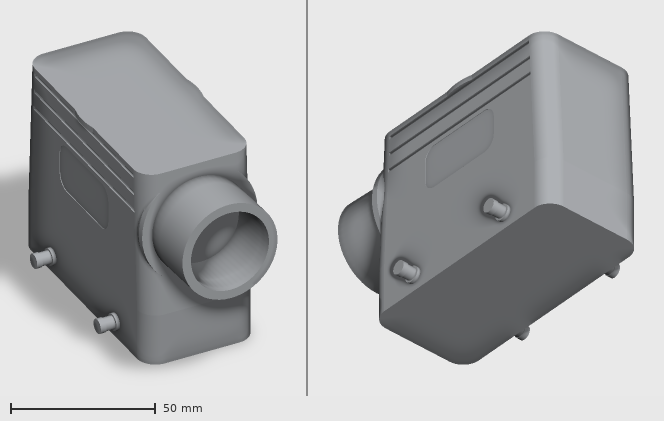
import cadquery as cq
import math

body_length = 93.3
body_width = 43.3
body_height = 76.0
skirt_height = 20.0
end_lean = 3.0
corner_radius = 7.1

total_length = 115.1
outlet_wall_height = 52.0
outlet_diameter = 37.0
bore_diameter = 30.4
collar_diameter = 45.0
collar_rim_length = 2.5
collar_taper_length = 2.6
collar_taper_drop = 0.9

groove_height = 1.4
groove_depth = 0.9
groove_pitch = 6.9
groove_count = 3
top_band_height = 2.1

bulge_width = 13.1
bulge_rise = 0.86

panel_length = 36.2
panel_height = 18.1
panel_radius = 5.2
panel_depth = 0.2
panel_center_height = 47.9

pin_spacing = 47.4
pin_height = 6.5
pin_span = 57.8
pin_flange_diameter = 6.5
pin_flange_length = 1.4
pin_neck_diameter = 5.0
pin_head_diameter = 5.5
pin_head_length = 2.2

half_length = body_length / 2
half_width = body_width / 2
lean_slope = math.tan(math.radians(end_lean))


def end_x(z):
    """Half length of the body at a height on the leaning ends."""
    return half_length - (z - skirt_height) * lean_slope


def make_body():
    top_half = end_x(body_height)
    outline = [
        (-half_length, 0),
        (half_length, 0),
        (half_length, skirt_height),
        (top_half, body_height),
        (-top_half, body_height),
        (-half_length, skirt_height),
    ]
    body = cq.Workplane("XZ").polyline(outline).close().extrude(half_width, both=True)
    upright_edges = body.edges("not (|X or |Y)")
    return upright_edges.fillet(corner_radius)


def along_outlet(solid):
    """Move a solid built up from the origin along +Z onto the outlet axis."""
    upright_to_axis = solid.rotate((0, 0, 0), (0, 1, 0), 90 - end_lean)
    return upright_to_axis.translate((end_x(outlet_wall_height), 0, outlet_wall_height))


def outlet_length():
    """Length that puts the lowest point of the mouth at the overall length."""
    lean = math.radians(end_lean)
    reach = total_length - half_length - end_x(outlet_wall_height)
    return (reach - outlet_diameter / 2 * math.sin(lean)) / math.cos(lean)


def make_collar():
    """Disc that ends flush with the end wall and tapers back into the corners."""
    radius = collar_diameter / 2
    back = -(collar_rim_length + collar_taper_length)
    profile = [
        (0, 0),
        (radius, 0),
        (radius, -collar_rim_length),
        (radius - collar_taper_drop, back),
        (0, back),
    ]
    disc = cq.Workplane("XZ").polyline(profile).close().revolve(360, (0, 0), (0, 1))
    return along_outlet(disc)


def make_outlet():
    tube = cq.Workplane("XY").workplane(offset=-collar_rim_length)
    tube = tube.circle(outlet_diameter / 2).extrude(collar_rim_length + outlet_length())
    return along_outlet(tube)


def make_bore():
    """Blind bore from the mouth down to the end wall."""
    bore = cq.Workplane("XY").circle(bore_diameter / 2).extrude(outlet_length())
    return along_outlet(bore)


def side_recess(sketch, depth):
    """Pocket of a sketch, sunk into both long sides to the given depth."""
    through = sketch.extrude(half_width, both=True)
    core = cq.Workplane("XY").box(2 * body_length, body_width - 2 * depth, 2 * body_height)
    return through.cut(core)


def make_groove(top):
    """Groove across both long sides, stopping where the rounded corners begin."""
    bottom = top - groove_height
    top_half = end_x(top) - corner_radius
    bottom_half = end_x(bottom) - corner_radius
    outline = [
        (-top_half, top),
        (top_half, top),
        (bottom_half, bottom),
        (-bottom_half, bottom),
    ]
    return side_recess(cq.Workplane("XZ").polyline(outline).close(), groove_depth)


def make_panel():
    panel = cq.Sketch().rect(panel_length, panel_height).vertices().fillet(panel_radius)
    placed = cq.Workplane("XZ", origin=(0, 0, panel_center_height)).placeSketch(panel)
    return side_recess(placed, panel_depth)


def make_bulge():
    """Arched swelling of the top band on both long sides."""
    half = bulge_width / 2
    crest = half_width + bulge_rise
    return (
        cq.Workplane("XY", origin=(0, 0, body_height - top_band_height))
        .moveTo(-half, -half_width)
        .threePointArc((0, -crest), (half, -half_width))
        .lineTo(half, half_width)
        .threePointArc((0, crest), (-half, half_width))
        .close()
        .extrude(top_band_height)
    )


def make_pin_pair(x):
    """Two stepped pins in line, one on each long side, turned as a single bar."""
    tip = pin_span / 2
    head_start = tip - pin_head_length
    flange_end = half_width + pin_flange_length
    profile = [
        (0, -tip),
        (pin_head_diameter / 2, -tip),
        (pin_head_diameter / 2, -head_start),
        (pin_neck_diameter / 2, -head_start),
        (pin_neck_diameter / 2, -flange_end),
        (pin_flange_diameter / 2, -flange_end),
        (pin_flange_diameter / 2, flange_end),
        (pin_neck_diameter / 2, flange_end),
        (pin_neck_diameter / 2, head_start),
        (pin_head_diameter / 2, head_start),
        (pin_head_diameter / 2, tip),
        (0, tip),
    ]
    bar = cq.Workplane("XY").polyline(profile).close().revolve(360, (0, 0), (0, 1))
    return bar.translate((x, 0, pin_height))


result = make_body()
for groove in range(groove_count):
    result = result.cut(make_groove(body_height - top_band_height - groove * groove_pitch))
result = result.cut(make_panel())
result = result.union(make_bulge())
for pin_x in (-pin_spacing / 2, pin_spacing / 2):
    result = result.union(make_pin_pair(pin_x))
result = result.union(make_collar()).union(make_outlet()).cut(make_bore())